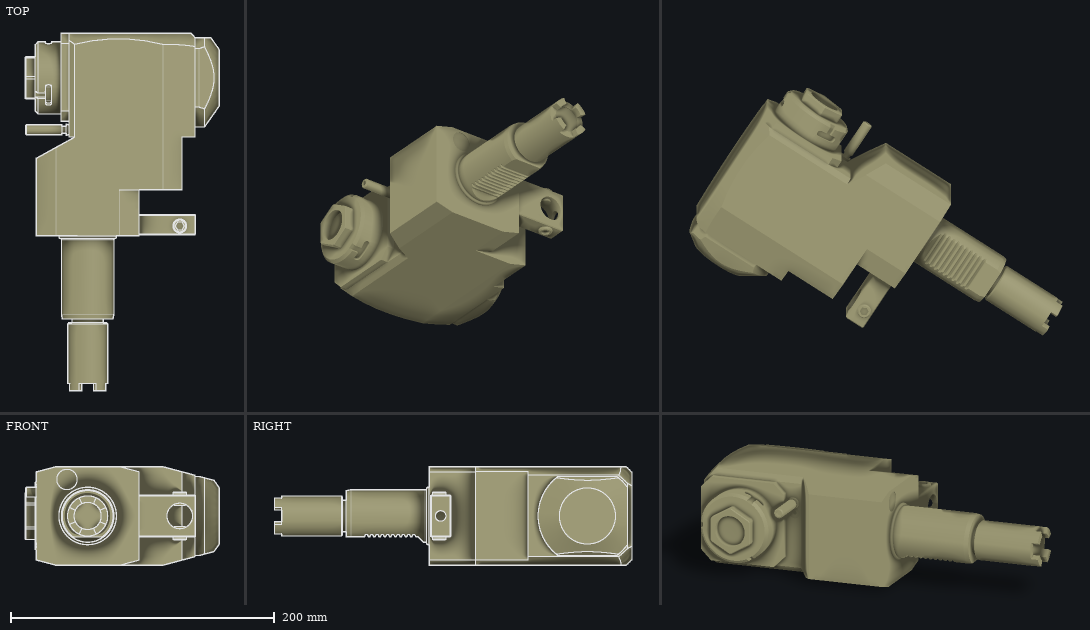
import cadquery as cq
import math


OVERLAP = 1.0

HALF_HEIGHT = 37.5
HOUSING_TOP = 154.0
FOOT_HALF_WIDTH = 39.0
FOOT_STEP_Y = 35.0
WAIST_X = 71.7
HEAD_RIGHT = 81.5
HEAD_LEFT = -14.3
HEAD_BOTTOM = 75.0
HEAD_RIGHT_CHAMFER = (3.0, 3.5)
SLANT_TOP_X = -10.0
SLANT_BOTTOM_Y = 59.0
BEVEL_ANGLE = 15.0
BEVEL_SLOPE = math.tan(math.radians(BEVEL_ANGLE))
FOOT_BEVEL_START = 24.0
HEAD_BEVEL_START = 57.0
HEAD_LEFT_CHAMFER = 4.3
CROWN_RADIUS = 136.0
CROWN_CENTER = (23.4, 13.6)

PLUG_RECESS = 0.5
SHANK_PLUG_RADIUS = 7.75
SHANK_PLUG_XZ = (-15.7, 27.7)

SPINDLE_Y = 120.0
PLATE_HALF_Y = 33.5
PLATE_HALF_Z = 33.0
PLATE_CHAMFER = 8.0
PLATE_LEFT = -20.3
COLLAR_RADIUS = 27.5
COLLAR_LEFT = -39.8
COLLAR_CHAMFER = 2.2
COLLAR_SLOT_X = -29.7
COLLAR_SLOT_WIDTH = 4.9
COLLAR_SLOT_DEPTH = 2.5
COLLAR_SLOT_HALF_ANGLE = 14.0
COLLAR_NOTCH_WIDTH = 4.8
COLLAR_SLOT_COUNT = 3
HEX_ACROSS_FLATS = 32.0
HEX_TURNED_RADIUS = 18.0
HEX_TURN = 30.0
HEX_LEFT = -47.5
HEX_FACE_CHAMFER = 0.6
HEX_BORE_RADIUS = 12.0
HEX_BORE_DEPTH = 6.0

CAP_RADIUS = 37.4
CAP_RIM_RIGHT = 84.5
CAP_CONE_START = 88.7
CAP_RIGHT = 100.0
CAP_FACE_RADIUS = 21.3
CAP_FLAT_Y = HOUSING_TOP - HEAD_RIGHT_CHAMFER[1]

PIN_YZ = (80.6, 18.1)
PIN_LEFT = -47.3
PIN_RADIUS = 3.8
PIN_TIP_CHAMFER = 0.8
PIN_BODY_RIGHT = -19.6
PIN_NECK_RADIUS = 2.7
PIN_SEAT_LEFT = -16.3
PIN_SEAT_RADIUS = 4.5
PIN_SEAT_BASE_RADIUS = 3.7
PIN_BORE_RADIUS = 2.0
PIN_BORE_DEPTH = 3.0
SIDE_PLUG_YZ = (80.6, 9.8)
SIDE_PLUG_RADIUS = 4.4
SIDE_PLUG_SOCKET_RADIUS = 1.7
SIDE_PLUG_SOCKET_DEPTH = 2.0

BRACKET_RIGHT = 82.0
BRACKET_Y = (0.9, 16.4)
BRACKET_HALF_Z = 15.9
BRACKET_CHAMFER = 0.7
BRACKET_MID_Y = sum(BRACKET_Y) / 2
BRACKET_BORE_X = 69.9
BRACKET_BORE_RADIUS = 9.7
BRACKET_END_HOLE_RADIUS = 4.0
SCREW_Y = 7.6
SCREW_HEAD_RADIUS = 5.25
SCREW_HEAD_TOP = 18.3
SCREW_HEAD_CHAMFER = 0.8
SCREW_TIP_RADIUS = 4.0
SCREW_TIP_Z = 7.8
SCREW_SOCKET_ACROSS_FLATS = 6.0
SCREW_SOCKET_DEPTH = 3.0

SEAL_CENTER_RADIUS = 20.4
SEAL_SECTION_RADIUS = 1.5
SEAL_Y = -0.6
SHANK_ROOT_RADIUS = 19.6
SHANK_ROOT_END = -3.1
SHANK_RADIUS = 20.0
SHANK_TAPER_START = -59.5
SHANK_TAPER_RADIUS = 19.3
SHANK_END = -63.0
NECK_RADIUS = 12.0
NECK_END = -65.8
DRIVE_RADIUS = 15.25
DRIVE_CHAMFER = 0.8
DRIVE_SHOULDER = -112.0
DRIVE_END = -117.55
PRONG_BORE_RADIUS = 10.3
PRONG_BORE_END = DRIVE_SHOULDER + 0.5
PRONG_GAP_HALF_ANGLE = 25.0
PRONG_COUNT = 4
RACK_FLAT_Z = -15.9
RACK_RUNOUT_Y = -8.5
RACK_FIRST_GROOVE_Y = -11.6
RACK_PITCH = 4.0
RACK_GROOVE_COUNT = 10
RACK_GROOVE_HALF_WIDTH = 1.5
RACK_GROOVE_FLOOR_HALF_WIDTH = 0.6
RACK_GROOVE_DEPTH = 1.8


def cylinder_x(radius, x_start, x_end, y, z=0.0):
    return cq.Workplane("YZ", origin=(x_start, y, z)).circle(radius).extrude(x_end - x_start)


def cylinder_y(radius, y_start, y_end, x=0.0, z=0.0):
    return cq.Workplane("XZ", origin=(x, y_start, z)).circle(radius).extrude(y_start - y_end)


def cylinder_z(radius, z_start, z_end, x, y):
    return cq.Workplane("XY", origin=(x, y, z_start)).circle(radius).extrude(z_end - z_start)


def block(x_range, y_range, z_range):
    size = [high - low for low, high in (x_range, y_range, z_range)]
    corner = (x_range[0], y_range[0], z_range[0])
    return cq.Workplane("XY").box(*size, centered=False).translate(corner)


def turned_x(points, y, z=0.0):
    """Solid of revolution about a line along X; points are (x, radius)."""
    profile = cq.Workplane("XY").polyline(points).close()
    return profile.revolve(360, (0, 0, 0), (1, 0, 0)).translate((0, y, z))


def bevelled_section(left, left_start, right, right_start, y_start, y_end):
    """Prism along Y whose flanks drop away at the bevel angle beyond left_start and right_start."""
    left_z = HALF_HEIGHT - (left_start - left) * BEVEL_SLOPE
    right_z = HALF_HEIGHT - (right - right_start) * BEVEL_SLOPE
    upper = [(left, left_z), (left_start, HALF_HEIGHT), (right_start, HALF_HEIGHT), (right, right_z)]
    lower = [(x, -z) for x, z in reversed(upper)]
    section = cq.Workplane("XZ", origin=(0, y_start, 0)).polyline(upper + lower).close()
    return section.extrude(y_start - y_end)


def make_housing():
    foot = bevelled_section(
        -FOOT_HALF_WIDTH, -FOOT_BEVEL_START, FOOT_HALF_WIDTH, FOOT_BEVEL_START, 0, FOOT_STEP_Y
    )
    upper = bevelled_section(
        -FOOT_HALF_WIDTH, -FOOT_BEVEL_START, HEAD_RIGHT, HEAD_BEVEL_START, FOOT_STEP_Y, HOUSING_TOP
    )
    outline = [
        (-FOOT_HALF_WIDTH, FOOT_STEP_Y),
        (WAIST_X, FOOT_STEP_Y),
        (WAIST_X, HEAD_BOTTOM),
        (HEAD_RIGHT, HEAD_BOTTOM),
        (HEAD_RIGHT, HOUSING_TOP - HEAD_RIGHT_CHAMFER[1]),
        (HEAD_RIGHT - HEAD_RIGHT_CHAMFER[0], HOUSING_TOP),
        (HEAD_LEFT, HOUSING_TOP),
        (HEAD_LEFT, HEAD_BOTTOM),
        (SLANT_TOP_X, HEAD_BOTTOM),
        (-FOOT_HALF_WIDTH, SLANT_BOTTOM_Y),
    ]
    slab = cq.Workplane("XY").polyline(outline).close().extrude(HALF_HEIGHT, both=True)
    return foot.union(upper.intersect(slab)).cut(make_head_chamfers()).intersect(make_crown())


def make_head_chamfers():
    """Edge strips removed from the left side of the head, above and below."""
    strip = (
        cq.Workplane("XZ", origin=(0, HEAD_BOTTOM, 0))
        .moveTo(HEAD_LEFT, HALF_HEIGHT)
        .lineTo(HEAD_LEFT + HEAD_LEFT_CHAMFER, HALF_HEIGHT)
        .lineTo(HEAD_LEFT, HALF_HEIGHT - HEAD_LEFT_CHAMFER)
        .close()
        .extrude(HEAD_BOTTOM - HOUSING_TOP)
    )
    return strip.union(strip.mirror("XY"))


def make_crown():
    """Double 45 degree cone about a Z axis that bevels the far end of the housing."""
    profile = [
        (0, -HALF_HEIGHT),
        (CROWN_RADIUS, -HALF_HEIGHT),
        (CROWN_RADIUS + HALF_HEIGHT, 0),
        (CROWN_RADIUS, HALF_HEIGHT),
        (0, HALF_HEIGHT),
    ]
    cone = cq.Workplane("XZ").polyline(profile).close().revolve(360, (0, 0, 0), (0, 1, 0))
    return cone.translate((*CROWN_CENTER, 0))


def make_plate():
    plate_center_y = HOUSING_TOP - PLATE_HALF_Y
    plate = cq.Workplane("YZ", origin=(PLATE_LEFT, plate_center_y, 0))
    plate = plate.rect(2 * PLATE_HALF_Y, 2 * PLATE_HALF_Z).extrude(HEAD_LEFT - PLATE_LEFT)
    return plate.edges("|X").chamfer(PLATE_CHAMFER)


def make_collar():
    profile = [
        (COLLAR_LEFT, 0),
        (COLLAR_LEFT, COLLAR_RADIUS - COLLAR_CHAMFER),
        (COLLAR_LEFT + COLLAR_CHAMFER, COLLAR_RADIUS),
        (PLATE_LEFT + OVERLAP, COLLAR_RADIUS),
        (PLATE_LEFT + OVERLAP, 0),
    ]
    collar = turned_x(profile, SPINDLE_Y)
    for index in range(COLLAR_SLOT_COUNT):
        angle = index * 360 / COLLAR_SLOT_COUNT
        cutter = make_collar_cutter().rotate((0, 0, 0), (1, 0, 0), angle)
        collar = collar.cut(cutter.translate((0, SPINDLE_Y, 0)))
    return collar


def make_collar_cutter():
    """T-shaped spanner recess on the +Y side: a curved round-ended slot and a notch to the face."""
    floor_radius = COLLAR_RADIUS - COLLAR_SLOT_DEPTH
    outer_radius = COLLAR_RADIUS + OVERLAP
    half_width = COLLAR_SLOT_WIDTH / 2
    ring = turned_x(
        [
            (COLLAR_SLOT_X - half_width, floor_radius),
            (COLLAR_SLOT_X + half_width, floor_radius),
            (COLLAR_SLOT_X + half_width, outer_radius),
            (COLLAR_SLOT_X - half_width, outer_radius),
        ],
        0,
    )
    reach = 2 * outer_radius
    half_chord = reach * math.tan(math.radians(COLLAR_SLOT_HALF_ANGLE))
    wedge = cq.Workplane("YZ", origin=(COLLAR_LEFT, 0, 0))
    wedge = wedge.polyline([(0, 0), (reach, half_chord), (reach, -half_chord)]).close()
    slot = ring.intersect(wedge.extrude(PLATE_LEFT - COLLAR_LEFT))
    for side in (-1, 1):
        end = cq.Workplane("XZ", origin=(COLLAR_SLOT_X, floor_radius, 0)).circle(half_width)
        end = end.extrude(-COLLAR_SLOT_DEPTH - OVERLAP)
        slot = slot.union(end.rotate((0, 0, 0), (1, 0, 0), side * COLLAR_SLOT_HALF_ANGLE))
    notch = block(
        (COLLAR_LEFT - OVERLAP, COLLAR_SLOT_X),
        (floor_radius, outer_radius),
        (-COLLAR_NOTCH_WIDTH / 2, COLLAR_NOTCH_WIDTH / 2),
    )
    return slot.union(notch)


def make_hex_end():
    across_corners = HEX_ACROSS_FLATS / math.cos(math.pi / 6)
    length = COLLAR_LEFT + OVERLAP - HEX_LEFT
    prism = cq.Workplane("YZ", origin=(HEX_LEFT, 0, 0)).polygon(6, across_corners).extrude(length)
    prism = prism.rotate((0, 0, 0), (1, 0, 0), HEX_TURN).translate((0, SPINDLE_Y, 0))
    envelope = cylinder_x(HEX_TURNED_RADIUS, HEX_LEFT, HEX_LEFT + length, SPINDLE_Y)
    return prism.intersect(envelope).faces("<X").chamfer(HEX_FACE_CHAMFER)


def make_cap():
    profile = [
        (HEAD_RIGHT - OVERLAP, 0),
        (HEAD_RIGHT - OVERLAP, CAP_RADIUS),
        (CAP_CONE_START, CAP_RADIUS),
        (CAP_RIGHT, CAP_FACE_RADIUS),
        (CAP_RIGHT, 0),
    ]
    rim_z = HALF_HEIGHT - (CAP_RIM_RIGHT - HEAD_BEVEL_START) * BEVEL_SLOPE
    end_z = rim_z - (CAP_RIGHT - CAP_RIM_RIGHT) * BEVEL_SLOPE
    upper = [(HEAD_RIGHT - OVERLAP, rim_z), (CAP_RIM_RIGHT, rim_z), (CAP_RIGHT, end_z)]
    lower = [(x, -z) for x, z in reversed(upper)]
    limits = cq.Workplane("XZ").polyline(upper + lower).close().extrude(-CAP_FLAT_Y)
    return turned_x(profile, SPINDLE_Y).intersect(limits)


def make_pin():
    profile = [
        (PIN_LEFT, 0),
        (PIN_LEFT, PIN_RADIUS - PIN_TIP_CHAMFER),
        (PIN_LEFT + PIN_TIP_CHAMFER, PIN_RADIUS),
        (PIN_BODY_RIGHT, PIN_RADIUS),
        (PIN_BODY_RIGHT, PIN_NECK_RADIUS),
        (PIN_SEAT_LEFT, PIN_NECK_RADIUS),
        (PIN_SEAT_LEFT, PIN_SEAT_RADIUS),
        (HEAD_LEFT, PIN_SEAT_BASE_RADIUS),
        (HEAD_LEFT + OVERLAP, PIN_SEAT_BASE_RADIUS),
        (HEAD_LEFT + OVERLAP, 0),
    ]
    bore = cylinder_x(PIN_BORE_RADIUS, PIN_LEFT, PIN_LEFT + PIN_BORE_DEPTH, *PIN_YZ)
    return turned_x(profile, *PIN_YZ).cut(bore)


def make_bracket():
    bracket = block((FOOT_HALF_WIDTH, BRACKET_RIGHT), BRACKET_Y, (-BRACKET_HALF_Z, BRACKET_HALF_Z))
    bracket = bracket.edges("|X or >X").chamfer(BRACKET_CHAMFER)
    root = block(
        (FOOT_HALF_WIDTH - OVERLAP, FOOT_HALF_WIDTH + OVERLAP),
        (BRACKET_Y[0] + BRACKET_CHAMFER, BRACKET_Y[1] - BRACKET_CHAMFER),
        (-BRACKET_HALF_Z + BRACKET_CHAMFER, BRACKET_HALF_Z - BRACKET_CHAMFER),
    )
    bore = cylinder_y(BRACKET_BORE_RADIUS, *BRACKET_Y, BRACKET_BORE_X)
    end_hole = cylinder_x(BRACKET_END_HOLE_RADIUS, BRACKET_BORE_X, BRACKET_RIGHT, BRACKET_MID_Y)
    bracket = bracket.union(root).cut(bore).cut(end_hole)
    screw = make_clamp_screw()
    return bracket.union(screw).union(screw.mirror("XY"))


def make_clamp_screw():
    """Screw on the upper bracket face; its tip reaches into the bore and its head has a hex socket."""
    position = (BRACKET_BORE_X, SCREW_Y)
    head_base = BRACKET_HALF_Z - OVERLAP
    head = cylinder_z(SCREW_HEAD_RADIUS, head_base, SCREW_HEAD_TOP, *position)
    head = head.faces(">Z").chamfer(SCREW_HEAD_CHAMFER)
    tip = cylinder_z(SCREW_TIP_RADIUS, SCREW_TIP_Z, BRACKET_HALF_Z, *position)
    socket = (
        cq.Workplane("XY", origin=(*position, SCREW_HEAD_TOP - SCREW_SOCKET_DEPTH))
        .polygon(6, SCREW_SOCKET_ACROSS_FLATS / math.cos(math.pi / 6))
        .extrude(SCREW_SOCKET_DEPTH)
    )
    return head.union(tip).cut(socket)


def make_shank():
    profile = [
        (0, OVERLAP),
        (SHANK_ROOT_RADIUS, OVERLAP),
        (SHANK_ROOT_RADIUS, 0),
        (SHANK_RADIUS, SHANK_ROOT_END),
        (SHANK_RADIUS, SHANK_TAPER_START),
        (SHANK_TAPER_RADIUS, SHANK_END),
        (NECK_RADIUS, SHANK_END),
        (NECK_RADIUS, NECK_END),
        (DRIVE_RADIUS - DRIVE_CHAMFER, NECK_END),
        (DRIVE_RADIUS, NECK_END - DRIVE_CHAMFER),
        (DRIVE_RADIUS, DRIVE_END),
        (0, DRIVE_END),
    ]
    shank = cq.Workplane("XY").polyline(profile).close().revolve(360, (0, 0, 0), (0, 1, 0))
    seal = cq.Workplane("XY").center(SEAL_CENTER_RADIUS, SEAL_Y).circle(SEAL_SECTION_RADIUS)
    seal = seal.revolve(360, (-SEAL_CENTER_RADIUS, 0, 0), (-SEAL_CENTER_RADIUS, 1, 0))
    return shank.cut(make_rack_cutter()).cut(make_prong_gaps()).union(seal)


def make_rack_cutter():
    """Flat under the shank with a 45 degree run-out, plus the clamping grooves across it."""
    deep = -SHANK_RADIUS - OVERLAP
    runout_length = RACK_FLAT_Z - deep
    flat = [
        (SHANK_END, RACK_FLAT_Z),
        (RACK_RUNOUT_Y, RACK_FLAT_Z),
        (RACK_RUNOUT_Y + runout_length, deep),
        (SHANK_END, deep),
    ]
    cutter = cq.Workplane("YZ").polyline(flat).close().extrude(SHANK_RADIUS, both=True)
    groove_floor = RACK_FLAT_Z + RACK_GROOVE_DEPTH
    for index in range(RACK_GROOVE_COUNT):
        center = RACK_FIRST_GROOVE_Y - index * RACK_PITCH
        groove = [
            (center - RACK_GROOVE_HALF_WIDTH, RACK_FLAT_Z),
            (center - RACK_GROOVE_FLOOR_HALF_WIDTH, groove_floor),
            (center + RACK_GROOVE_FLOOR_HALF_WIDTH, groove_floor),
            (center + RACK_GROOVE_HALF_WIDTH, RACK_FLAT_Z),
        ]
        cutter = cutter.union(cq.Workplane("YZ").polyline(groove).close().extrude(SHANK_RADIUS, both=True))
    return cutter


def make_prong_gaps():
    """Centre bore and radial gaps that leave the drive prongs standing."""
    length = DRIVE_SHOULDER - DRIVE_END
    gaps = cylinder_y(PRONG_BORE_RADIUS, PRONG_BORE_END, DRIVE_END)
    reach = 2 * DRIVE_RADIUS
    half_chord = reach * math.tan(math.radians(PRONG_GAP_HALF_ANGLE))
    wedge = cq.Workplane("XZ", origin=(0, DRIVE_SHOULDER, 0))
    wedge = wedge.polyline([(0, 0), (reach, half_chord), (reach, -half_chord)]).close()
    wedge = wedge.extrude(length)
    for index in range(PRONG_COUNT):
        gaps = gaps.union(wedge.rotate((0, 0, 0), (0, 1, 0), index * 360 / PRONG_COUNT))
    return gaps


def make_recesses():
    """Plug recesses in the housing and the bore in the hex end."""
    plug_x, plug_z = SHANK_PLUG_XZ
    shank_plug = cylinder_y(SHANK_PLUG_RADIUS, PLUG_RECESS, 0, plug_x, plug_z)
    side_plug = cylinder_x(SIDE_PLUG_RADIUS, HEAD_LEFT, HEAD_LEFT + PLUG_RECESS, *SIDE_PLUG_YZ)
    socket_end = HEAD_LEFT + SIDE_PLUG_SOCKET_DEPTH
    socket = cylinder_x(SIDE_PLUG_SOCKET_RADIUS, HEAD_LEFT, socket_end, *SIDE_PLUG_YZ)
    hex_bore = cylinder_x(HEX_BORE_RADIUS, HEX_LEFT, HEX_LEFT + HEX_BORE_DEPTH, SPINDLE_Y)
    return shank_plug.union(side_plug).union(socket).union(hex_bore)


result = make_housing()
for piece in (
    make_plate(),
    make_collar(),
    make_hex_end(),
    make_cap(),
    make_bracket(),
    make_shank(),
):
    result = result.union(piece)
result = result.cut(make_recesses()).union(make_pin())